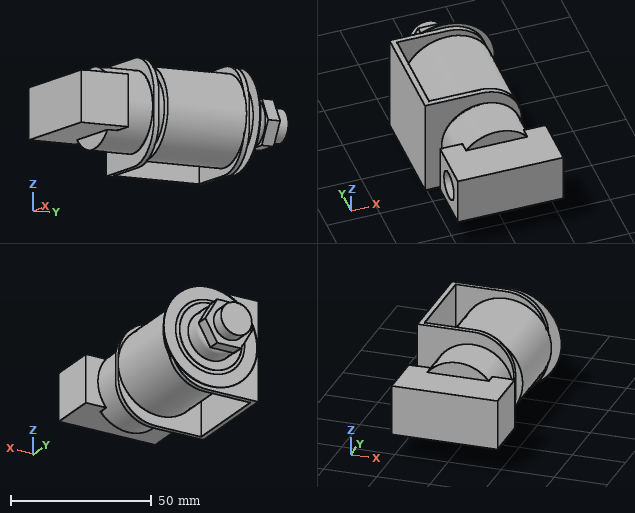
import cadquery as cq
import math

TOTAL_LENGTH = 90.85

BLOCK_WIDTH = 40.0
BLOCK_SIDE = 19.1
PORT_RADIUS = 5.4
PORT_DEPTH = 6.4

FRONT_RADIUS = 15.0
FRONT_START = 15.1
FRONT_END = 31.5

BRACKET_START = 31.9
BRACKET_LENGTH = 38.4
BRACKET_HEIGHT = 39.4
BRACKET_LEFT = 21.2
BRACKET_RIGHT = 15.3
LEG_THICKNESS = 2.0
WALL_THICKNESS = 2.2
BRACKET_END = BRACKET_START + BRACKET_LENGTH

CORE_RADIUS = 14.3
COIL_RADIUS = 17.0
COIL_START = 36.6
COIL_END = BRACKET_END - LEG_THICKNESS

DISC_RADIUS = 19.35
DISC_START = 72.4
DISC_THICKNESS = 0.4
STEP_RADIUS = 12.9
STEP_HEIGHT = 0.2
DISC_END = DISC_START + DISC_THICKNESS
STEP_END = DISC_END + STEP_HEIGHT

CAP_RADIUS = 9.45
CAP_ROUNDING = 2.4
HEX_SIDES = 6
HEX_START = 80.9
HEX_LENGTH = 4.8
HEX_FLATS = 17.0
HEX_CORNERS = HEX_FLATS / math.cos(math.pi / HEX_SIDES)
HEX_END = HEX_START + HEX_LENGTH
STUD_RADIUS = 6.4


def section_at(y):
    """Sketch plane across the axis at y, extruding toward +Y."""
    return cq.Workplane(cq.Plane(origin=(0, y, 0), xDir=(1, 0, 0), normal=(0, 1, 0)))


def cylinder(radius, start, end):
    return section_at(start).circle(radius).extrude(end - start)


def make_port_block():
    block = cq.Workplane("XY").box(BLOCK_WIDTH, BLOCK_SIDE, BLOCK_SIDE)
    port = block.faces("<X").workplane().hole(2 * PORT_RADIUS, PORT_DEPTH)
    return port.translate((0, BLOCK_SIDE / 2, 0))


def make_rear_end():
    cap = cylinder(CAP_RADIUS, STEP_END, HEX_START).faces(">Y").edges().fillet(CAP_ROUNDING)
    hexagon = section_at(HEX_START).polygon(HEX_SIDES, HEX_CORNERS).extrude(HEX_LENGTH)
    stud = cylinder(STUD_RADIUS, HEX_END, TOTAL_LENGTH)
    return cap.union(hexagon).union(stud)


def make_valve():
    valve = make_port_block()
    for radius, start, end in (
        (FRONT_RADIUS, FRONT_START, FRONT_END),
        (CORE_RADIUS, FRONT_END, DISC_START),
        (COIL_RADIUS, COIL_START, COIL_END),
        (DISC_RADIUS, DISC_START, DISC_END),
        (STEP_RADIUS, DISC_END, STEP_END),
    ):
        valve = valve.union(cylinder(radius, start, end))
    return valve.union(make_rear_end())


def make_bracket():
    outer = (
        cq.Workplane("XY")
        .box(BRACKET_LEFT + BRACKET_RIGHT, BRACKET_LENGTH, BRACKET_HEIGHT, centered=(False, False, True))
        .translate((-BRACKET_LEFT, BRACKET_START, 0))
    )
    outer = outer.edges("|Y and >X").fillet(BRACKET_RIGHT)
    gap = (
        cq.Workplane("XY")
        .box(
            BRACKET_LEFT + BRACKET_RIGHT - WALL_THICKNESS,
            BRACKET_LENGTH - 2 * LEG_THICKNESS,
            BRACKET_HEIGHT,
            centered=(False, False, True),
        )
        .translate((WALL_THICKNESS - BRACKET_LEFT, BRACKET_START + LEG_THICKNESS, 0))
    )
    return outer.cut(gap).cut(cylinder(CORE_RADIUS, BRACKET_START, BRACKET_END))


valve = make_valve()
bracket = make_bracket()

result = cq.Compound.makeCompound([valve.val(), bracket.val()])